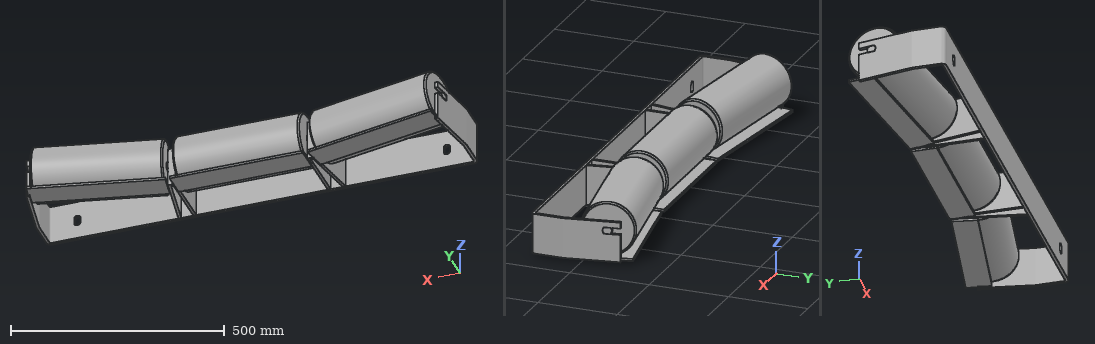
import cadquery as cq
import math


frame_length = 1070.0
frame_height = 100.0
plate_thickness = 8.0
corner_radius = 12.0
inside_corner_radius = corner_radius - plate_thickness
bend_y = 81.0
end_plate_reach = 216.0
mount_slot_x = 459.0
mount_slot_z = 48.5
mount_slot_width = 16.0
mount_slot_height = 26.0

swing_angle = 10.0
tilt_angle = 1.7
roller_radius = 66.5
roller_length = 315.0
roller_chamfer = 4.0
axle_diameter = 22.0
axle_height = 16.0
end_gap = 6.0
middle_roller_y = 127.0
middle_roller_z = 67.2
outer_roller_y = 155.1

bracket_back_y = 152.3
bracket_thickness = 7.0

strip_thickness = 6.0
strip_width = 62.5
strip_front_offset = -2.0
strip_end_margin = 5.0

plate_face = roller_length / 2 + end_gap
axle_end = plate_face + bracket_thickness
end_plate_outside = plate_face + plate_thickness
strip_end = axle_end - strip_end_margin

swing = math.radians(swing_angle)
tilt = math.radians(tilt_angle)
slope = math.tan(swing)
slanted_thickness = bracket_thickness / math.cos(swing)

half_length = frame_length / 2
exit_y = outer_roller_y + end_plate_outside * math.sin(swing)
exit_x = -half_length + (exit_y - bend_y) * slope
outer_roller_x = exit_x + end_plate_outside * math.cos(swing)

strip_drop = middle_roller_z
outer_roller_z = strip_drop * math.cos(tilt) + plate_face * math.sin(tilt)


def mirrored(body):
    """The same body on the +X side."""
    return body.mirror("YZ")


def placed_middle(body):
    """Move a body from the roller's own axes to the middle roller."""
    return body.translate((0, middle_roller_y, middle_roller_z))


def placed_outer(body):
    """Move a body from the roller's own axes to the -X outer roller."""
    tilted = body.rotate((0, 0, 0), (0, 1, 0), tilt_angle)
    swung = tilted.rotate((0, 0, 0), (0, 0, 1), -swing_angle)
    return swung.translate((outer_roller_x, outer_roller_y, outer_roller_z))


def make_axle(length):
    """Round bar along X, flattened above and below."""
    bar = cq.Workplane("YZ", origin=(-length / 2, 0, 0)).circle(axle_diameter / 2).extrude(length)
    return bar.intersect(cq.Workplane("XY").box(length, axle_diameter, axle_height))


def make_roller():
    """Chamfered roller with its axle, lying along X."""
    end_plane = cq.Workplane("YZ", origin=(-roller_length / 2, 0, 0))
    barrel = end_plane.circle(roller_radius).extrude(roller_length)
    barrel = barrel.faces("<X or >X").chamfer(roller_chamfer)
    return barrel.union(make_axle(2 * axle_end))


def make_strap():
    """Frame strap with rounded front corners and slanted end plates."""
    tip_x = half_length - (end_plate_reach - bend_y) * slope
    inside_x = half_length - plate_thickness
    inside_bend_y = bend_y - plate_thickness * math.tan(swing / 2)
    inside_tip_x = tip_x - plate_thickness * math.cos(swing)
    inside_tip_y = end_plate_reach - plate_thickness * math.sin(swing)
    right_side = [
        (half_length, 0),
        (half_length, bend_y),
        (tip_x, end_plate_reach),
        (inside_tip_x, inside_tip_y),
        (inside_x, inside_bend_y),
        (inside_x, plate_thickness),
    ]
    left_side = [(-x, y) for x, y in reversed(right_side)]
    strap = cq.Workplane("XY").polyline(right_side + left_side).close().extrude(frame_height)

    outside_bends = [(half_length, 0), (half_length, bend_y)]
    inside_bends = [(inside_x, plate_thickness), (inside_x, inside_bend_y)]
    for bends, radius in ((outside_bends, corner_radius), (inside_bends, inside_corner_radius)):
        for x, y in bends:
            for side in (-1, 1):
                corner = cq.selectors.NearestToPointSelector((side * x, y, frame_height / 2))
                strap = strap.edges("|Z").edges(corner).fillet(radius)
    return strap


def make_mount_slots():
    """Upright slots through the front of the strap."""
    return (
        cq.Workplane("XZ")
        .pushPoints([(-mount_slot_x, mount_slot_z), (mount_slot_x, mount_slot_z)])
        .slot2D(mount_slot_height, mount_slot_width, 90)
        .extrude(-plate_thickness)
    )


def make_axle_slot():
    """Cutter for the end plate: the seat of the axle, run out past the plate's free edge."""
    cutter_length = 4 * plate_thickness
    run_out = end_plate_reach - outer_roller_y
    run = cq.Workplane("XY").box(cutter_length, run_out, axle_height).translate((0, run_out / 2, 0))
    return placed_outer(make_axle(cutter_length).union(run).translate((-end_plate_outside, 0, 0)))


def make_frame():
    """Strap with its mounting slots and the open axle slots of its end plates."""
    axle_slot = make_axle_slot()
    return make_strap().cut(make_mount_slots()).cut(axle_slot).cut(mirrored(axle_slot))


def make_bracket():
    """U-bent bracket carrying the inner axle end of an outer roller and one end of the middle axle."""
    near_x = outer_roller_x + plate_face * math.cos(swing)
    near_y = outer_roller_y - plate_face * math.sin(swing)

    def slanted_x(y):
        return near_x + (y - near_y) * slope

    front_y = plate_thickness
    web_y = bracket_back_y - bracket_thickness
    outline = [
        (slanted_x(front_y), front_y),
        (slanted_x(bracket_back_y), bracket_back_y),
        (-plate_face, bracket_back_y),
        (-plate_face, front_y),
        (-axle_end, front_y),
        (-axle_end, web_y),
        (slanted_x(web_y) + slanted_thickness, web_y),
        (slanted_x(front_y) + slanted_thickness, front_y),
    ]
    return cq.Workplane("XY").polyline(outline).close().extrude(frame_height)


def make_strip(start, end):
    """Flat strip lying along X below the roller."""
    bar = cq.Workplane("XY").box(end - start, strip_width, strip_thickness, centered=False)
    return bar.translate((start, strip_front_offset, -strip_drop - strip_thickness))


frame = make_frame()
roller = make_roller()
middle_roller = placed_middle(roller)
outer_roller = placed_outer(roller)
bracket = make_bracket().cut(middle_roller).cut(outer_roller)
middle_strip = placed_middle(make_strip(-strip_end, strip_end))
outer_strip = placed_outer(make_strip(-strip_end, strip_end)).cut(frame)

result = cq.Compound.makeCompound([
    frame.val(),
    middle_roller.val(),
    outer_roller.val(),
    mirrored(outer_roller).val(),
    bracket.val(),
    mirrored(bracket).val(),
    middle_strip.val(),
    outer_strip.val(),
    mirrored(outer_strip).val(),
])